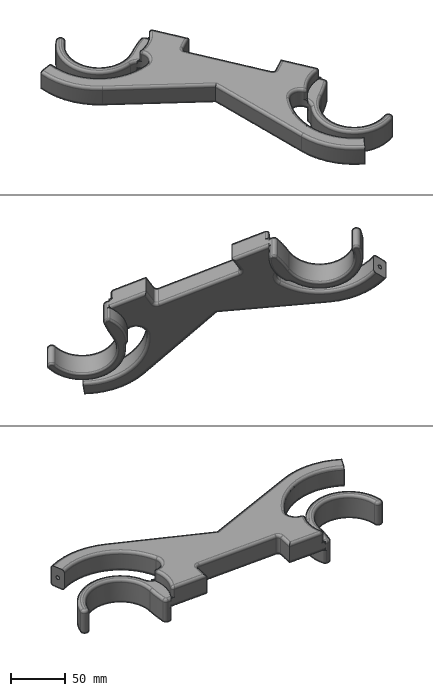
import cadquery as cq
import math

half_length = 164.5
hook_inner_radius = 32.0
hook_thickness = 8.2
arm_inner_radius = 60.0
arm_outer_radius = 75.0
back_y = 23.0
plate_thickness = 22.5
total_height = 38.0
hook_top_z = -12.0

hook_tip_angle = 10.0
slot_end_angle = 24.5
arm_tangent_angle = 21.6
arm_tip_inner_angle = 28.0
arm_tip_outer_angle = 26.7

notch_half_width = 45.0
notch_depth = 18.0
notch_corner_radius = 3.0

wall_radius = 34.2
wall_inset = 11.5
wall_y = 5.0

root_side_lean = 2.3
root_corner_radius = 4.0

edge_radius = 3.0
hook_bottom_radius = 2.0
corner_radius = 2.3

pin_hole_diameter = 4.0
pin_hole_depth = 10.0

tolerance = 0.15

hook_outer_radius = hook_inner_radius + hook_thickness
hook_mid_radius = hook_inner_radius + hook_thickness / 2
slot_radius = (arm_inner_radius - hook_outer_radius) / 2
slot_mid_radius = hook_outer_radius + slot_radius
hook_x = half_length - hook_thickness / 2 - hook_mid_radius * math.cos(math.radians(hook_tip_angle))
wall_x = hook_x - wall_inset
hook_height = total_height + hook_top_z
plate_bottom_z = -plate_thickness
part_bottom_z = -total_height


def around_hook(radius, angle):
    """Point on a circle about the hook centre; 0 is straight down, positive is outboard."""
    turn = math.radians(angle)
    return (hook_x + radius * math.sin(turn), -radius * math.cos(turn))


def disc(x, y, radius):
    """Full-height cylinder, from the bottom of the part to the plate top."""
    return cq.Workplane("XY", origin=(x, y, part_bottom_z)).circle(radius).extrude(total_height)


wall_disc = disc(wall_x, wall_y, wall_radius)
slot_end = disc(*around_hook(slot_mid_radius, slot_end_angle - 90), slot_radius)


def half_plate():
    """Half of the flat plate with its curved lower arm."""
    tangent_point = around_hook(arm_outer_radius, -arm_tangent_angle)
    rise = tangent_point[0] * math.tan(math.radians(arm_tangent_angle))
    valley = (0, tangent_point[1] + rise)
    notch_y = back_y - notch_depth
    slot_start = around_hook(arm_inner_radius, slot_end_angle - 90)
    plate = (
        cq.Workplane("XY", origin=(0, 0, plate_bottom_z))
        .moveTo(*valley)
        .lineTo(*tangent_point)
        .threePointArc(around_hook(arm_outer_radius, 0), around_hook(arm_outer_radius, arm_tip_outer_angle))
        .lineTo(*around_hook(arm_inner_radius, arm_tip_inner_angle))
        .threePointArc(around_hook(arm_inner_radius, 0), slot_start)
        .lineTo(*around_hook(slot_mid_radius, slot_end_angle - 90))
        .lineTo(wall_x, wall_y)
        .lineTo(wall_x, back_y)
        .lineTo(notch_half_width, back_y)
        .lineTo(notch_half_width, notch_y)
        .lineTo(0, notch_y)
        .close()
        .extrude(plate_thickness)
        .cut(wall_disc)
        .cut(slot_end)
    )
    notch_corner = cq.selectors.NearestToPointSelector((notch_half_width, notch_y, plate_bottom_z / 2))
    return plate.edges("|Z").edges(notch_corner).fillet(notch_corner_radius)


def hook():
    """Open ring with a rounded tip, and the root that joins it to the step wall."""
    side_x = hook_x - hook_inner_radius
    back_corner = cq.selectors.NearestToPointSelector(
        (side_x - root_side_lean, back_y, part_bottom_z + hook_height / 2))
    root = (
        cq.Workplane("XY", origin=(0, 0, part_bottom_z))
        .moveTo(hook_x, 0)
        .lineTo(side_x, 0)
        .threePointArc((side_x - root_side_lean / 4, back_y / 2), (side_x - root_side_lean, back_y))
        .lineTo(0, back_y)
        .lineTo(*around_hook(slot_mid_radius, slot_end_angle - 90))
        .close()
        .extrude(hook_height)
        .edges("|Z")
        .edges(back_corner)
        .fillet(root_corner_radius)
        .intersect(wall_disc)
        .cut(disc(hook_x, 0, hook_inner_radius))
        .cut(slot_end)
    )
    tip_angle = 90 - hook_tip_angle
    ring = (
        cq.Workplane("XY", origin=(0, 0, part_bottom_z))
        .moveTo(*around_hook(hook_inner_radius, -90))
        .threePointArc(around_hook(hook_inner_radius, 0), around_hook(hook_inner_radius, tip_angle))
        .tangentArcPoint(around_hook(hook_outer_radius, tip_angle), relative=False)
        .threePointArc(around_hook(hook_outer_radius, 0), around_hook(hook_outer_radius, slot_end_angle - 90))
        .close()
        .extrude(hook_height)
    )
    return root.union(ring)


def on_wall(edge):
    """True for an edge that follows the arc of the step wall."""
    middle = edge.positionAt(0.5)
    distance = math.hypot(middle.x - wall_x, middle.y - wall_y)
    return abs(distance - wall_radius) < tolerance


def is_plain_end(edge):
    """True for edges on the middle plane and on the flat arm tip, which stay sharp."""
    middle = edge.Center()
    arm_tip_x = around_hook(arm_inner_radius, arm_tip_inner_angle)[0]
    return middle.x < tolerance or (edge.geomType() == "LINE" and middle.x > arm_tip_x)


def round_level(body, z, radius):
    """Round the edges at height z; the arc of the step wall only joins in along smooth corners."""
    height = cq.selectors.BoxSelector(
        (-half_length, -half_length, z - tolerance), (half_length, half_length, z + tolerance))
    level = body.edges(height).vals()
    edges = [edge for edge in level if not on_wall(edge) and not is_plain_end(edge)]
    return body.newObject(edges).fillet(radius)


def wall_end_edges(body):
    """Vertical edges at the two ends of the step wall."""
    edges = [edge for edge in body.edges("|Z").vals() if on_wall(edge)]
    return body.newObject(edges)


def between(body, low, high):
    """The part of a body between two heights."""
    side = 4 * half_length
    layer = cq.Workplane("XY", origin=(0, 0, low)).rect(side, side).extrude(high - low)
    return body.intersect(layer)


def upper_plate():
    """Plate above the hook: rounded wall ends, then the top edges."""
    layer = between(half_plate(), hook_top_z, 0)
    layer = wall_end_edges(layer).fillet(corner_radius)
    return round_level(layer, 0, edge_radius)


def lower_plate():
    """Plate level with the hook, rounded underneath except where it meets the hook root."""
    layer = between(half_plate(), plate_bottom_z, hook_top_z)
    return round_level(layer, plate_bottom_z, edge_radius)


def upper_hook():
    """Hook beside the plate, rounded on top except where it meets the step wall."""
    layer = between(hook(), plate_bottom_z, hook_top_z)
    return round_level(layer, hook_top_z, edge_radius)


def lower_hook():
    """Hook below the plate: rounded root corners, then the bottom edges."""
    layer = between(hook(), part_bottom_z, plate_bottom_z)
    layer = wall_end_edges(layer).fillet(corner_radius)
    return round_level(layer, part_bottom_z, hook_bottom_radius)


def pin_hole():
    """Blind hole square to the flat arm tip, centred on it."""
    inner = around_hook(arm_inner_radius, arm_tip_inner_angle)
    outer = around_hook(arm_outer_radius, arm_tip_outer_angle)
    middle = cq.Vector((inner[0] + outer[0]) / 2, (inner[1] + outer[1]) / 2, plate_bottom_z / 2)
    inward = cq.Vector(outer[1] - inner[1], inner[0] - outer[0], 0)
    return cq.Workplane(cq.Solid.makeCylinder(pin_hole_diameter / 2, pin_hole_depth, middle, inward))


half = upper_plate().union(lower_plate()).union(upper_hook()).union(lower_hook())
half = half.cut(pin_hole())
result = half.union(half.mirror("YZ")).clean()